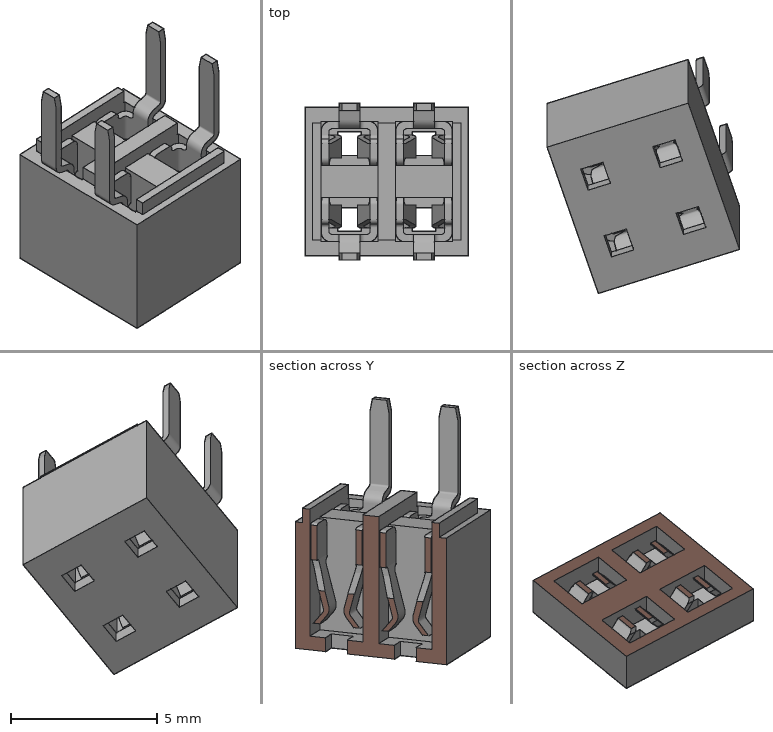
import cadquery as cq
import math

BODY_X = 5.58
BODY_Y = 5.08
BODY_TOP = 4.5
RIB_HEIGHT = 0.5
RIB_LENGTH = 4.0
OUTER_RIB_WIDTH = 0.29
CENTER_RIB_WIDTH = 0.6
PITCH = 2.54
WELL_WIDTH = 1.94
WELL_INNER_Y = 0.55
WELL_OUTER_Y = 2.06
FLOOR = 0.5
PIN_HOLE = 0.8
PIN_HOLE_Y = 1.3

SHEET = 0.25
CONTACT_WIDTH = 1.91
CORNER_INNER_RADIUS = 0.13
CORNER_OUTER_RADIUS = 0.3
CONTACT_BOTTOM = 3.2
BACK_TOP = 4.2
SHOULDER_TOP = BODY_TOP
STEP_LOWER_RADIUS = 0.13
STEP_UPPER_RADIUS = 0.15
STEP_Y = 1.58
SHOULDER_END_RADIUS = 0.25

PINCH_HALF_GAP = 0.22
PINCH_BEND_RADIUS = 0.4
PINCH_Z = 1.44
TINE_ROOT_Z = 2.88
FLARE_FULL_Z = 1.28
FLARE_BOTTOM = 0.96
FLARE_SPREAD = 0.4
TINE_INNER_Y = WELL_INNER_Y + SHOULDER_END_RADIUS
TINE_ROOT_OUTER_Y = 1.3
TINE_PINCH_OUTER_Y = 1.53
FLARE_OUTER_Y = STEP_Y

LEAD_TOP = 8.0
LEAD_OUTER_Y = 2.68
LEAD_WIDTH = 0.7
TIP_HEIGHT = 0.44
TIP_INSET = 0.09
LEAD_ROOT_RADIUS = 0.18
JOG_SLOPE = math.radians(15)
UPPER_BEND_INNER_RADIUS = 0.08
UPPER_BEND_Z = 5.0
LOWER_BEND_INNER_RADIUS = 0.13

HALF_CONTACT = CONTACT_WIDTH / 2
CONTACT_INNER_X = HALF_CONTACT - SHEET


def box_between(x_min, x_max, y_min, y_max, z_min, z_max):
    block = cq.Workplane("XY").box(x_max - x_min, y_max - y_min, z_max - z_min, centered=False)
    return block.translate((x_min, y_min, z_min))


def along_x(outline, width):
    """Solid from a closed outline in the YZ plane, centred on X = 0."""
    return outline.extrude(width / 2, both=True)


def make_housing():
    body = box_between(-BODY_X / 2, BODY_X / 2, -BODY_Y / 2, BODY_Y / 2, 0, BODY_TOP)
    outer_rib_x = PITCH / 2 + WELL_WIDTH / 2 + OUTER_RIB_WIDTH / 2
    ribs = [(-outer_rib_x, OUTER_RIB_WIDTH), (0, CENTER_RIB_WIDTH), (outer_rib_x, OUTER_RIB_WIDTH)]
    for x, width in ribs:
        rib = box_between(
            x - width / 2, x + width / 2, -RIB_LENGTH / 2, RIB_LENGTH / 2,
            BODY_TOP, BODY_TOP + RIB_HEIGHT,
        )
        body = body.union(rib)
    well_length = WELL_OUTER_Y - WELL_INNER_Y
    well_y = (WELL_OUTER_Y + WELL_INNER_Y) / 2
    for x in (-PITCH / 2, PITCH / 2):
        for side in (-1, 1):
            well = cq.Workplane("XY").box(WELL_WIDTH, well_length, BODY_TOP - FLOOR, (True, True, False))
            pin_hole = cq.Workplane("XY").box(PIN_HOLE, PIN_HOLE, FLOOR, (True, True, False))
            body = body.cut(well.translate((x, side * well_y, FLOOR)))
            body = body.cut(pin_hole.translate((x, side * PIN_HOLE_Y, 0)))
    return body


def make_frame():
    """U-shaped wall of the contact, with raised side-wall shoulders."""
    def corner_block(half_width, y_max, radius):
        block = box_between(-half_width, half_width, WELL_INNER_Y, y_max, CONTACT_BOTTOM, SHOULDER_TOP)
        return block.edges("|Z and >Y").fillet(radius)

    outer = corner_block(HALF_CONTACT, WELL_OUTER_Y, CORNER_OUTER_RADIUS)
    inner = corner_block(CONTACT_INNER_X, WELL_OUTER_Y - SHEET, CORNER_INNER_RADIUS)
    riser_y = STEP_Y - STEP_LOWER_RADIUS
    side = (
        cq.Workplane("YZ")
        .moveTo(WELL_INNER_Y, CONTACT_BOTTOM)
        .lineTo(WELL_OUTER_Y, CONTACT_BOTTOM)
        .lineTo(WELL_OUTER_Y, BACK_TOP)
        .lineTo(STEP_Y, BACK_TOP)
        .radiusArc((riser_y, BACK_TOP + STEP_LOWER_RADIUS), STEP_LOWER_RADIUS)
        .lineTo(riser_y, SHOULDER_TOP - STEP_UPPER_RADIUS)
        .radiusArc((riser_y - STEP_UPPER_RADIUS, SHOULDER_TOP), -STEP_UPPER_RADIUS)
        .lineTo(WELL_INNER_Y + SHOULDER_END_RADIUS, SHOULDER_TOP)
        .radiusArc((WELL_INNER_Y, SHOULDER_TOP - SHOULDER_END_RADIUS), -SHOULDER_END_RADIUS)
        .close()
    )
    return outer.cut(inner).intersect(along_x(side, CONTACT_WIDTH))


def make_tine():
    """Spring tine on the +X side wall, running down from its lower edge."""
    flare_x = PINCH_HALF_GAP + FLARE_SPREAD
    bent_strip = (
        cq.Workplane("XZ")
        .polyline([
            (CONTACT_INNER_X, CONTACT_BOTTOM),
            (PINCH_HALF_GAP, PINCH_Z),
            (flare_x, FLARE_BOTTOM),
            (flare_x + SHEET, FLARE_BOTTOM),
            (PINCH_HALF_GAP + SHEET, PINCH_Z),
            (HALF_CONTACT, CONTACT_BOTTOM),
        ])
        .close()
        .extrude(-WELL_OUTER_Y)
    )
    for x, radius in [
        (PINCH_HALF_GAP, PINCH_BEND_RADIUS),
        (PINCH_HALF_GAP + SHEET, PINCH_BEND_RADIUS - SHEET),
    ]:
        pinch_edge = cq.selectors.NearestToPointSelector((x, WELL_OUTER_Y / 2, PINCH_Z))
        bent_strip = bent_strip.edges(pinch_edge).fillet(radius)
    blade = (
        cq.Workplane("YZ")
        .moveTo(WELL_INNER_Y, CONTACT_BOTTOM)
        .lineTo(TINE_ROOT_OUTER_Y, CONTACT_BOTTOM)
        .lineTo(TINE_ROOT_OUTER_Y, TINE_ROOT_Z)
        .lineTo(TINE_PINCH_OUTER_Y, PINCH_Z)
        .lineTo(FLARE_OUTER_Y, FLARE_FULL_Z)
        .lineTo(FLARE_OUTER_Y, FLARE_BOTTOM)
        .lineTo(TINE_INNER_Y, FLARE_BOTTOM)
        .lineTo(TINE_INNER_Y, TINE_ROOT_Z)
        .radiusArc((WELL_INNER_Y, TINE_ROOT_Z + SHOULDER_END_RADIUS), -SHOULDER_END_RADIUS)
        .close()
    )
    return bent_strip.intersect(along_x(blade, CONTACT_WIDTH))


def make_lead():
    upper_y = LEAD_OUTER_Y - SHEET - UPPER_BEND_INNER_RADIUS
    lower_y = WELL_OUTER_Y + LOWER_BEND_INNER_RADIUS
    upper_outer_radius = UPPER_BEND_INNER_RADIUS + SHEET
    lower_outer_radius = LOWER_BEND_INNER_RADIUS + SHEET
    lower_z = (
        UPPER_BEND_Z
        - (upper_y - lower_y) * math.tan(JOG_SLOPE)
        - (UPPER_BEND_INNER_RADIUS + lower_outer_radius) / math.cos(JOG_SLOPE)
    )

    def upper_point(radius):
        return (
            upper_y + radius * math.sin(JOG_SLOPE),
            UPPER_BEND_Z - radius * math.cos(JOG_SLOPE),
        )

    def lower_point(radius):
        return (
            lower_y - radius * math.sin(JOG_SLOPE),
            lower_z + radius * math.cos(JOG_SLOPE),
        )

    side = (
        cq.Workplane("YZ")
        .moveTo(WELL_OUTER_Y, CONTACT_BOTTOM)
        .lineTo(WELL_OUTER_Y, lower_z)
        .radiusArc(lower_point(LOWER_BEND_INNER_RADIUS), LOWER_BEND_INNER_RADIUS)
        .lineTo(*upper_point(upper_outer_radius))
        .radiusArc((LEAD_OUTER_Y, UPPER_BEND_Z), -upper_outer_radius)
        .lineTo(LEAD_OUTER_Y, LEAD_TOP)
        .lineTo(LEAD_OUTER_Y - SHEET, LEAD_TOP)
        .lineTo(LEAD_OUTER_Y - SHEET, UPPER_BEND_Z)
        .radiusArc(upper_point(UPPER_BEND_INNER_RADIUS), UPPER_BEND_INNER_RADIUS)
        .lineTo(*lower_point(lower_outer_radius))
        .radiusArc((WELL_OUTER_Y - SHEET, lower_z), -lower_outer_radius)
        .lineTo(WELL_OUTER_Y - SHEET, CONTACT_BOTTOM)
        .close()
    )
    half = LEAD_WIDTH / 2
    root = half + LEAD_ROOT_RADIUS
    front = (
        cq.Workplane("XZ")
        .moveTo(-root, CONTACT_BOTTOM)
        .lineTo(-root, BACK_TOP)
        .radiusArc((-half, BACK_TOP + LEAD_ROOT_RADIUS), -LEAD_ROOT_RADIUS)
        .lineTo(-half, LEAD_TOP - TIP_HEIGHT)
        .lineTo(-half + TIP_INSET, LEAD_TOP)
        .lineTo(half - TIP_INSET, LEAD_TOP)
        .lineTo(half, LEAD_TOP - TIP_HEIGHT)
        .lineTo(half, BACK_TOP + LEAD_ROOT_RADIUS)
        .radiusArc((root, BACK_TOP), -LEAD_ROOT_RADIUS)
        .lineTo(root, CONTACT_BOTTOM)
        .close()
        .extrude(-LEAD_OUTER_Y)
    )
    return along_x(side, 2 * root).intersect(front)


def make_contact():
    tine = make_tine()
    return make_frame().union(make_lead()).union(tine).union(tine.mirror("YZ"))


rear_contact = make_contact()
front_contact = rear_contact.mirror("XZ")
result = make_housing()
for contact_x in (-PITCH / 2, PITCH / 2):
    for contact in (rear_contact, front_contact):
        result = result.union(contact.translate((contact_x, 0, 0)))